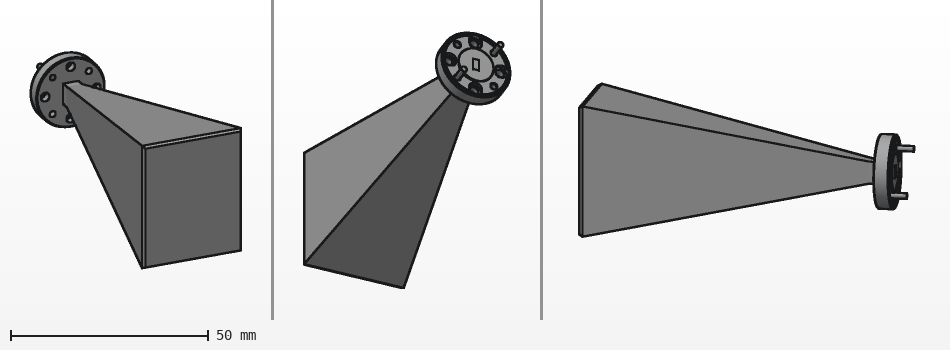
import cadquery as cq
import math

total_length = 82.6
pin_projection = 3.9
flange_thickness = 4.0
neck_length = 2.2
rim_length = 1.0
flange_front = pin_projection
flange_back = flange_front + flange_thickness
taper_start = flange_back + neck_length
taper_end = total_length - rim_length

neck_width, neck_height = 4.2, 5.7
mouth_width, mouth_height = 27.4, 33.7
rim_setback = 0.5

flange_radius = 9.5
edge_chamfer = 0.25
boss_radius = 4.8
ring_outer_radius = 8.7
ring_depth = 0.4
guide_width, guide_height = 1.65, 3.1

pitch_radius = 7.1
screw_hole_radius = 1.15
counterbore_radius = 1.8
counterbore_depth = 1.5
dowel_hole_radius = 0.8
pin_radius = 0.75
dowel_countersink = 0.2
screw_angles = (0, 90, 180, 270)
open_dowel_angles = (45, 225)
pin_angles = (135, 315)


def section(x):
    """Work plane across the X axis, with its local axes along Y and Z."""
    return cq.Workplane("YZ", origin=(x, 0, 0))


def on_pitch_circle(angle):
    turn = math.radians(angle)
    return (pitch_radius * math.cos(turn), pitch_radius * math.sin(turn))


def cylinders(x, radius, length, angles):
    """Cylinders on the pitch circle, running from x towards +X."""
    centres = [on_pitch_circle(angle) for angle in angles]
    return section(x).pushPoints(centres).circle(radius).extrude(length)


def tapered_block(x, length, start_size, end_size):
    return section(x).rect(*start_size).workplane(offset=length).rect(*end_size).loft(ruled=True)


def make_guide_stub():
    return section(flange_front).rect(guide_width, guide_height).extrude(flange_thickness)


def make_countersinks(hole_radius, angles):
    """Conical hole mouths, sunk from the floor of the recessed ring."""
    floor = flange_front + ring_depth
    mouth = cq.Solid.makeCone(
        hole_radius + dowel_countersink, hole_radius, dowel_countersink,
        cq.Vector(floor, 0, 0), cq.Vector(1, 0, 0),
    )
    centres = [on_pitch_circle(angle) for angle in angles]
    return cq.Workplane().newObject([mouth.translate(cq.Vector(0, y, z)) for y, z in centres])


def make_horn():
    """Solid pyramid with a bevelled mouth rim and a guide stub flush with the flange boss."""
    neck_size = (neck_width, neck_height)
    mouth_size = (mouth_width, mouth_height)
    rim_size = (mouth_width - 2 * rim_setback, mouth_height - 2 * rim_setback)
    stub = make_guide_stub()
    neck = section(flange_back).rect(*neck_size).extrude(neck_length)
    flare = tapered_block(taper_start, taper_end - taper_start, neck_size, mouth_size)
    rim = tapered_block(taper_end, rim_length, mouth_size, rim_size)
    return stub.union(neck).union(flare).union(rim)


def make_flange():
    """Round flange with a raised centre boss, a waveguide opening and eight holes."""
    disc = section(flange_front).circle(flange_radius).extrude(flange_thickness)
    disc = disc.faces("<X or >X").chamfer(edge_chamfer)
    ring = section(flange_front).circle(ring_outer_radius).circle(boss_radius).extrude(ring_depth)
    guide = make_guide_stub()
    screw_holes = cylinders(flange_front, screw_hole_radius, flange_thickness, screw_angles)
    counterbores = cylinders(flange_front, counterbore_radius, counterbore_depth, screw_angles)
    dowel_holes = cylinders(flange_front, dowel_hole_radius, flange_thickness, open_dowel_angles)
    pin_holes = cylinders(flange_front, pin_radius, flange_thickness, pin_angles)
    for cut in (ring, guide, screw_holes, counterbores, dowel_holes, pin_holes):
        disc = disc.cut(cut)
    for radius, angles in ((dowel_hole_radius, open_dowel_angles), (pin_radius, pin_angles)):
        for countersink in make_countersinks(radius, angles).vals():
            disc = disc.cut(cq.Workplane(countersink))
    return disc


def make_pin(angle):
    """Dowel pin that fills its flange hole and projects in front of the flange."""
    return cylinders(0, pin_radius, flange_back, [angle])


horn = make_horn()
flange = make_flange()
pins = [make_pin(angle) for angle in pin_angles]

result = cq.Compound.makeCompound([horn.val(), flange.val(), *[pin.val() for pin in pins]])